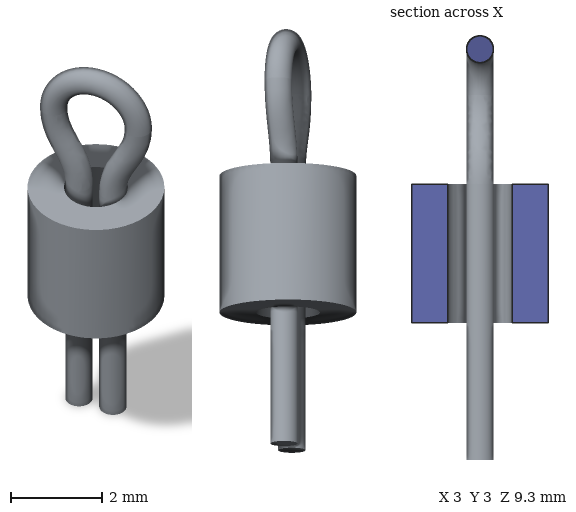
import cadquery as cq

sleeve_diameter = 3.0
sleeve_length = 3.05
bore_diameter = 1.4

wire_diameter = 0.6
lead_spacing = 0.8
lead_protrusion = 3.0
loop_radius = 1.0
neck_height = 1.95

sleeve_bottom = 0.0
leg_tip = sleeve_bottom - lead_protrusion
sleeve_top = sleeve_bottom + sleeve_length
loop_centre = sleeve_top + neck_height
leg_x = lead_spacing / 2


def make_sleeve():
    """Plain cylinder with a through bore along Z."""
    return (
        cq.Workplane("XY", origin=(0, 0, sleeve_bottom))
        .circle(sleeve_diameter / 2)
        .circle(bore_diameter / 2)
        .extrude(sleeve_length)
    )


def make_wire():
    """Round wire swept up one leg, around the loop and down the other leg."""
    up = (0, 1)
    down = (0, -1)
    centreline = (
        cq.Workplane("XZ")
        .moveTo(-leg_x, leg_tip)
        .lineTo(-leg_x, sleeve_top)
        .spline([(-loop_radius, loop_centre)], tangents=[up, up], includeCurrent=True)
        .threePointArc((0, loop_centre + loop_radius), (loop_radius, loop_centre))
        .spline([(leg_x, sleeve_top)], tangents=[down, down], includeCurrent=True)
        .lineTo(leg_x, leg_tip)
    )
    return (
        cq.Workplane("XY", origin=(-leg_x, 0, leg_tip))
        .circle(wire_diameter / 2)
        .sweep(centreline)
    )


sleeve = make_sleeve()
wire = make_wire()

result = cq.Compound.makeCompound([sleeve.val(), wire.val()])